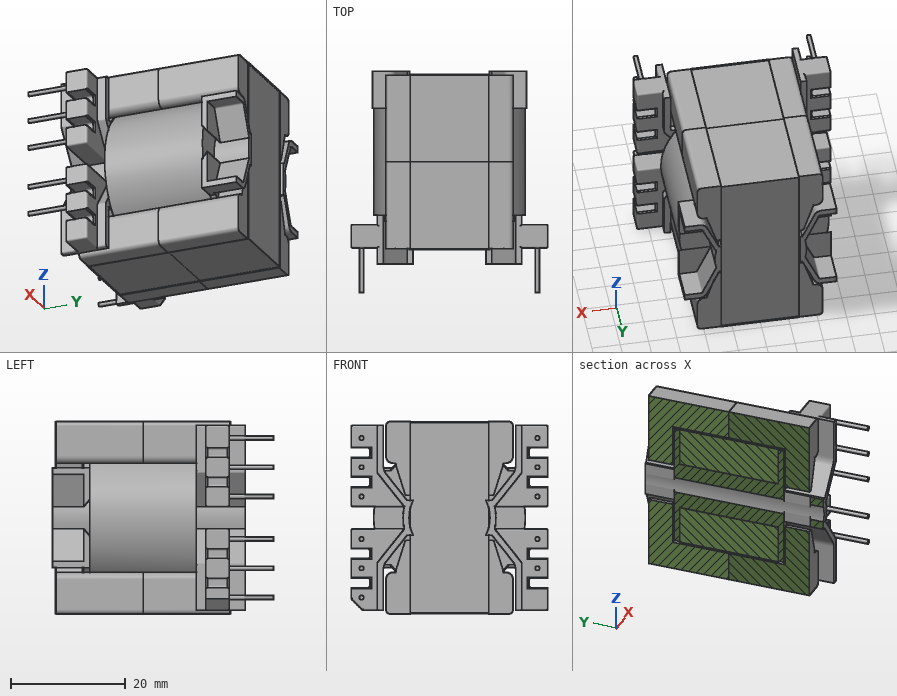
import cadquery as cq
import math


core_half_x = 11.05
core_half_y = 15.1
core_half_z = 16.75
leg_inner_z = 9.48
window_radius = 13.35
centre_leg_radius = 6.85
back_plate = 4.55
leg_outer_round = 0.77
leg_inner_round = 1.25
waist_x = 7.65
waist_half_z = 3.9
waist_round = 0.4

tape_thickness = 0.15
tape_half_x = 6.85
tape_half_z = 16.68

hub_inner_radius = 7.0
hub_outer_radius = 8.1
winding_radius = 13.2
winding_half_y = 9.3
flange_thickness = 1.05
flange_radius = 13.1
neck_x = 6.95
hub_gap_half_z = 1.93

rear_end_y = 15.8
rear_half_x = 13.4
rear_half_z = 8.65
rear_wall = 1.1
rear_inner_round = 1.4
rear_outer_round = 0.4
rear_slot_flare = 1.25
rear_bend_inner_x = 9.85
rear_bend_outer_x = 10.35
rear_foot_x = 7.55
rear_foot_z = 3.43
rear_foot_end_x = 7.3

front_end_y = -17.8
front_half_x = 12.6
front_half_z = 16.1
front_wall = 1.1
front_flange_half_z = 8.2
bend_outer_z = 7.85
bend_outer_round = 0.4
bend_inner_round = 1.93
foot_x = 7.63
foot_z = 3.35
foot_end_x = 7.35
lip_half_z = 3.0
lip_tip_x = 6.15

block_end_x = 17.1
block_back_y = -10.9
block_front_y = -15.0
block_round = 0.3
slot_width = 1.65
slot_bottom_x = 13.83
slot_round = 0.4
slot_edge_round = 0.15
corner_cut = 2.0
pin_radius = 0.4
pin_x = 15.3
pin_first_z = 3.7
pin_pitch = 5.1
pin_tip_y = -22.73
pins_per_block = 3

plate_inner_y = core_half_y - back_plate
tape_half_y = core_half_y + tape_thickness
block_mid_y = (block_back_y + block_front_y) / 2
flange_outer_y = winding_half_y + flange_thickness
front_inner_x = front_half_x - front_wall
mid_wall_x = front_half_x - front_wall / 2
pin_rows = [pin_first_z + i * pin_pitch for i in range(pins_per_block)]


def prism(points, y_from, y_to):
    """Prism of an XZ outline between two Y places."""
    outline = cq.Workplane("XZ", origin=(0, y_from, 0)).polyline(points).close()
    return outline.extrude(y_from - y_to)


def rod(radius, y_from, y_to, x=0, z=0):
    """Round bar along Y whose seam faces +Z."""
    start = cq.Plane(origin=(x, y_from, z), xDir=(0, 0, 1), normal=(0, 1, 0))
    return cq.Workplane(start).circle(radius).extrude(y_to - y_from)


def slab(half_x, half_z, y_from, y_to):
    """Block centred on the Y axis between two Y places."""
    block = cq.Workplane("XY").box(2 * half_x, y_to - y_from, 2 * half_z)
    return block.translate((0, (y_from + y_to) / 2, 0))


def mirrored(half, plane):
    """A shape together with its mirror image."""
    return half.union(half.mirror(plane))


def edge_at(x, y, z):
    """Selector of the edge whose middle is nearest to a point."""
    return cq.selectors.NearestToPointSelector((x, y, z))


def core_half():
    """The +Y half: two outer legs, a round centre leg and a waisted back plate."""
    leg_height = core_half_z - leg_inner_z
    leg = (
        cq.Workplane("XY")
        .box(2 * core_half_x, core_half_y, leg_height)
        .translate((0, core_half_y / 2, leg_inner_z + leg_height / 2))
        .edges("|Y and >Z")
        .fillet(leg_outer_round)
        .edges("|Y and <Z")
        .fillet(leg_inner_round)
    )
    leg = leg.cut(rod(window_radius, 0, plate_inner_y))
    shoulder_x = math.sqrt(window_radius**2 - leg_inner_z**2)
    plate = prism(
        [
            (-shoulder_x, leg_inner_z + leg_inner_round),
            (-shoulder_x, leg_inner_z),
            (-waist_x, waist_half_z),
            (-tape_half_x, waist_half_z),
            (-tape_half_x, 0),
            (tape_half_x, 0),
            (tape_half_x, waist_half_z),
            (waist_x, waist_half_z),
            (shoulder_x, leg_inner_z),
            (shoulder_x, leg_inner_z + leg_inner_round),
        ],
        plate_inner_y,
        core_half_y,
    )
    for side in (-1, 1):
        corner = edge_at(side * waist_x, core_half_y - back_plate / 2, waist_half_z)
        plate = plate.edges(corner).fillet(waist_round)
    half = mirrored(leg.union(plate), "XY").union(rod(centre_leg_radius, 0, core_half_y))
    seat = slab(tape_half_x, core_half_z, 0, core_half_y)
    seat = seat.cut(slab(tape_half_x, tape_half_z - tape_thickness, 0, core_half_y))
    return half.cut(seat)


def tape_loop():
    """Closed band wrapped round both core halves over the centre leg."""
    outer = slab(tape_half_x, tape_half_z, -tape_half_y, tape_half_y)
    return outer.cut(slab(tape_half_x, tape_half_z - tape_thickness, -core_half_y, core_half_y))


def winding_ring():
    """Copper filling the bobbin between its two flanges."""
    ring = rod(winding_radius, -winding_half_y, winding_half_y)
    return ring.cut(rod(hub_outer_radius, -winding_half_y, winding_half_y))


gap_x = math.sqrt(hub_outer_radius**2 - hub_gap_half_z**2)

front_outer_line = [
    (-gap_x, hub_gap_half_z),
    (-front_half_x, bend_outer_z),
]
front_inner_line = [
    (-front_inner_x, front_flange_half_z),
    (-foot_x, foot_z),
    (-foot_end_x, lip_half_z),
]
front_mid_line = [
    (-gap_x, hub_gap_half_z),
    (-gap_x, hub_gap_half_z + front_wall / 2),
    (-mid_wall_x, (bend_outer_z + front_flange_half_z) / 2),
]
rear_outer_line = [
    (-gap_x, hub_gap_half_z),
    (-rear_bend_outer_x, rear_half_z - rear_wall),
    (-rear_half_x, rear_half_z - rear_wall),
]
rear_inner_line = [
    (-rear_half_x, rear_half_z),
    (-rear_bend_inner_x, rear_half_z),
    (-rear_foot_x, rear_foot_z),
    (-rear_foot_end_x, lip_half_z),
]


def frame_wall(outline, y_from, y_to, tip_x):
    """One -X wall: an outline mirrored about Z = 0, with a strip of the hub joining its two arms."""
    upper = [(-tip_x, 0), (-gap_x, 0)] + outline + [(-tip_x, lip_half_z)]
    arms = mirrored(prism(upper, y_from, y_to), "XY")
    strip = slab(hub_outer_radius, hub_gap_half_z, y_from, y_to).translate((-hub_outer_radius - tip_x, 0, 0))
    wall = arms.union(rod(hub_outer_radius, y_from, y_to).intersect(strip))
    return wall.cut(rod(hub_inner_radius, y_from, y_to))


def front_wall_pair():
    """The two front walls, with lips that hook over the face of the tape."""
    top = [(-front_half_x, front_half_z), (-front_inner_x, front_half_z)]
    outline = front_outer_line + top + front_inner_line
    front_lip_outline = [front_outer_line[0], front_inner_line[-1]]
    wall = frame_wall(outline, front_end_y, -winding_half_y, neck_x)
    mid_y = (front_end_y - winding_half_y) / 2
    for side in (-1, 1):
        wall = wall.edges(edge_at(-front_half_x, mid_y, side * front_half_z)).fillet(block_round)
        wall = wall.edges(edge_at(-front_half_x, mid_y, side * bend_outer_z)).fillet(bend_outer_round)
        wall = wall.edges(edge_at(-front_inner_x, mid_y, side * front_flange_half_z)).fillet(bend_inner_round)
    wall = wall.union(frame_wall(front_lip_outline, front_end_y, -tape_half_y, lip_tip_x))
    return mirrored(wall, "YZ")


def front_flange():
    """Flange between the front walls, open outside them."""
    disc = rod(flange_radius, -flange_outer_y, -winding_half_y)
    disc = disc.union(slab(front_inner_x, front_flange_half_z, -flange_outer_y, -winding_half_y))
    side = front_mid_line + [(-block_end_x, bend_outer_z), (-block_end_x, hub_gap_half_z)]
    outside = mirrored(mirrored(prism(side, -flange_outer_y, -winding_half_y), "XY"), "YZ")
    gap = slab(block_end_x, hub_gap_half_z, -flange_outer_y, -winding_half_y)
    gap = gap.cut(rod(hub_outer_radius, -flange_outer_y, -winding_half_y))
    return disc.cut(outside).cut(gap)


def rear_frame():
    """Rear flange with flared hub slots, and the two winged walls behind it."""
    flange = rod(flange_radius, winding_half_y, flange_outer_y)
    flange = flange.union(slab(rear_half_x, rear_half_z, winding_half_y, flange_outer_y))
    flare_z = hub_gap_half_z + rear_slot_flare
    slot = (
        cq.Workplane("YZ")
        .polyline(
            [
                (winding_half_y, -flare_z),
                (flange_outer_y, -hub_gap_half_z),
                (flange_outer_y, hub_gap_half_z),
                (winding_half_y, flare_z),
            ]
        )
        .close()
        .extrude(block_end_x, both=True)
    )
    flange = flange.cut(slot.cut(rod(hub_outer_radius, winding_half_y, flange_outer_y)))
    wall = frame_wall(rear_outer_line + rear_inner_line, flange_outer_y, rear_end_y, neck_x)
    mid_y = (flange_outer_y + rear_end_y) / 2
    for side in (-1, 1):
        inner_bend = edge_at(-rear_bend_inner_x, mid_y, side * rear_half_z)
        outer_bend = edge_at(-rear_bend_outer_x, mid_y, side * (rear_half_z - rear_wall))
        wall = wall.edges(inner_bend).fillet(rear_inner_round)
        wall = wall.edges(outer_bend).fillet(rear_outer_round)
    return flange.union(mirrored(wall, "YZ"))


def pin_block(cut_corner):
    """The -X, +Z pin block: a comb with rounded edges; its top outer corner may be cut off."""
    outer_edge = [(-mid_wall_x, front_half_z), (-block_end_x, front_half_z), (-block_end_x, hub_gap_half_z)]
    block = prism(front_mid_line + outer_edge, block_front_y, block_back_y)
    block = block.edges(edge_at(-block_end_x, block_mid_y, hub_gap_half_z)).fillet(block_round)
    if cut_corner:
        block = block.edges(edge_at(-block_end_x, block_mid_y, front_half_z)).chamfer(corner_cut)
    else:
        block = block.edges(edge_at(-block_end_x, block_mid_y, front_half_z)).fillet(block_round)
    block = block.faces("<Y or >Y").edges().fillet(block_round)
    for lower, upper in zip(pin_rows, pin_rows[1:]):
        block = block.cut(wire_slot((lower + upper) / 2))
    return block


def wire_slot(z):
    """Slot between two pins, with rounded bottom corners and flared mouths."""
    depth = block_end_x - slot_bottom_x
    length = block_back_y - block_front_y
    slot = cq.Workplane("XY").box(2 * depth, length, slot_width).edges("|Y and >X").fillet(slot_round)
    for side in (-1, 1):
        mouth = (
            cq.Workplane("XZ", origin=(0, side * length / 2, 0))
            .rect(2 * depth + 2 * block_round, slot_width + 2 * slot_edge_round)
            .workplane(offset=side * block_round)
            .rect(2 * depth, slot_width)
            .loft()
        )
        slot = slot.union(mouth)
    return slot.translate((-block_end_x, block_mid_y, z))


def bobbin_with_pins():
    """Hub, flanges, walls, pin blocks and pins as one moulded piece."""
    body = rod(hub_outer_radius, -flange_outer_y, flange_outer_y)
    body = body.union(front_flange()).union(rear_frame()).union(front_wall_pair())
    plain = pin_block(False)
    body = body.union(plain).union(plain.mirror("YZ")).union(plain.mirror("XY").mirror("YZ"))
    body = body.union(pin_block(True).mirror("XY"))
    body = body.cut(rod(hub_inner_radius, -flange_outer_y, flange_outer_y))
    return body.union(pins())


def pins():
    """Round pins reaching back into the blocks; the +X, -Z outer place stays empty."""
    root_y = block_back_y - block_round
    all_pins = cq.Workplane("XY")
    for side_x in (-1, 1):
        for side_z in (-1, 1):
            for row in pin_rows:
                empty = side_x > 0 and side_z < 0 and row == pin_rows[-1]
                if not empty:
                    all_pins = all_pins.add(rod(pin_radius, pin_tip_y, root_y, side_x * pin_x, side_z * row))
    return all_pins.combine()


rear_core = core_half()
front_core = rear_core.mirror("XZ")
tape = tape_loop()
winding = winding_ring()
bobbin = bobbin_with_pins()

result = cq.Compound.makeCompound(
    [rear_core.val(), front_core.val(), tape.val(), winding.val(), bobbin.val()]
)